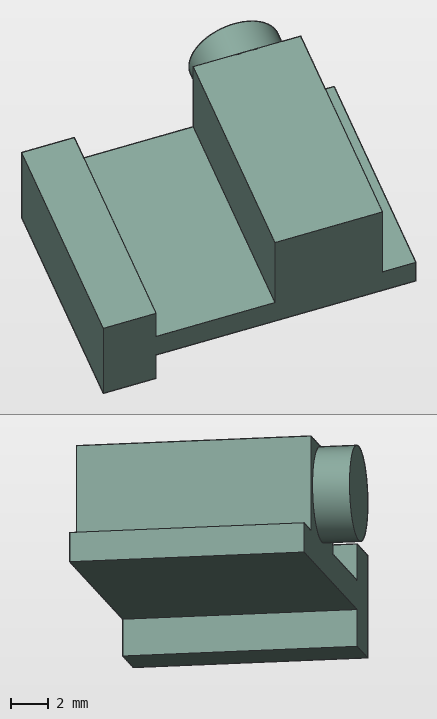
import cadquery as cq

body_length = 12.75
total_width = 17.75
rail_width = 3.0
rail_height = 5.6
plate_thickness = 1.6
plate_underside = 2.0
block_width = 6.1
block_setback = 1.9
pin_diameter = 5.15
pin_length = 2.0

plate_top = plate_underside + plate_thickness
block_height = pin_diameter
block_front = total_width - block_setback - block_width
pin_center_y = block_front + block_width / 2
pin_center_z = plate_top + pin_diameter / 2


def full_length_bar(y_start, z_start, width, height):
    """Rectangular bar running the whole body length along X."""
    bar = cq.Workplane("XY").box(body_length, width, height, centered=False)
    return bar.translate((0, y_start, z_start))


rail = full_length_bar(0, 0, rail_width, rail_height)
plate = full_length_bar(0, plate_underside, total_width, plate_thickness)
block = full_length_bar(block_front, plate_top, block_width, block_height)

pin = (
    cq.Workplane("YZ")
    .center(pin_center_y, pin_center_z)
    .circle(pin_diameter / 2)
    .extrude(-pin_length)
)

result = rail.union(plate).union(block).union(pin)